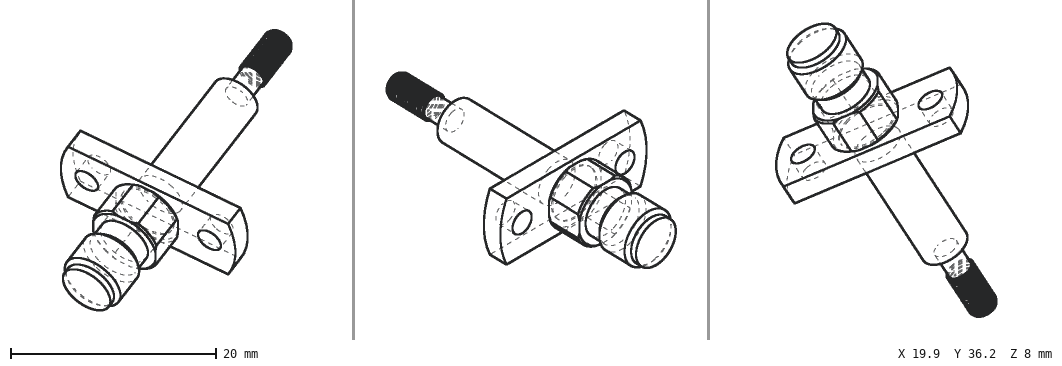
import cadquery as cq

total_length = 36.2

plug_front_y = 0.7
plug_front_cone_length = 0.45
plug_back_y = 4.65
plug_back_cone_length = 0.47
nut_front_y = 7.02
nut_length = 4.27
relief_length = 0.18
flange_thickness = 2.3
rod_end_y = 28.0
thread_start_y = 30.95

plug_neck_radius = 2.7
plug_radius = 3.2
relief_radius = 3.0
rod_radius = 2.5
tail_neck_radius = 1.25
thread_radius = 1.5

rod_end_fillet = 0.18
tail_tip_radius = 1.25
tail_tip_length = 0.45

nut_across_flats = 7.1
nut_radius = 3.85
nut_chamfer = 0.2

flange_length = 19.95
flange_height = 8.0
hole_spacing = 14.0
hole_diameter = 2.6

thread_pitch = 0.4
groove_depth = 0.15
groove_width = 0.33
groove_root_width = 0.018
groove_front_margin = 0.3
groove_back_margin = 0.65

nut_back_y = nut_front_y + nut_length
flange_front_y = nut_back_y + relief_length
flange_back_y = flange_front_y + flange_thickness


def cylinder(radius, start_y, end_y):
    """Solid cylinder about the Y axis from start_y to end_y."""
    return cq.Workplane("XZ", origin=(0, start_y, 0)).circle(radius).extrude(start_y - end_y)


def turned(points):
    """Solid of revolution about the Y axis from (radius, y) points."""
    return cq.Workplane("XY").polyline(points).close().revolve(360, (0, 0, 0), (0, 1, 0))


def make_plug():
    """Front spigot with the wide collar between two cones."""
    return turned([
        (0, 0),
        (plug_neck_radius, 0),
        (plug_neck_radius, plug_front_y),
        (plug_radius, plug_front_y + plug_front_cone_length),
        (plug_radius, plug_back_y),
        (plug_neck_radius, plug_back_y + plug_back_cone_length),
        (plug_neck_radius, nut_front_y),
        (0, nut_front_y),
    ])


def make_nut():
    """Round nut with chamfered rims and four flats facing X and Z."""
    round_body = cylinder(nut_radius, nut_front_y, nut_back_y).edges("%CIRCLE").chamfer(nut_chamfer)
    square = cq.Workplane("XY").box(nut_across_flats, nut_length, nut_across_flats)
    return round_body.intersect(square.translate((0, nut_front_y + nut_length / 2, 0)))


def make_flange():
    """Flat flange with ends rounded about the part axis and two mounting holes."""
    disc = cylinder(flange_length / 2, flange_front_y, flange_back_y)
    bar = cq.Workplane("XY").box(flange_length, flange_thickness, flange_height)
    flange = disc.intersect(bar.translate((0, flange_front_y + flange_thickness / 2, 0)))
    for side in (-1, 1):
        hole = cylinder(hole_diameter / 2, flange_front_y, flange_back_y)
        flange = flange.cut(hole.translate((side * hole_spacing / 2, 0, 0)))
    return flange


def make_rod():
    """Plain rod behind the flange with a rounded end edge."""
    return cylinder(rod_radius, flange_back_y, rod_end_y).faces(">Y").edges().fillet(rod_end_fillet)


def make_thread_groove():
    """Helical groove around the tail, cut off square at both ends of the thread."""
    start_y = thread_start_y + groove_front_margin
    end_y = total_length - groove_back_margin
    helix_length = end_y - start_y + 2 * thread_pitch
    path = cq.Wire.makeHelix(thread_pitch, helix_length, thread_radius)
    root_radius = thread_radius - groove_depth
    overlap = 0.018
    flank_slope = (groove_width - groove_root_width) / 2 / groove_depth
    half_root = groove_root_width / 2
    half_mouth = groove_width / 2 + flank_slope * overlap
    groove = (
        cq.Workplane("XZ")
        .moveTo(root_radius, -half_root)
        .lineTo(root_radius, half_root)
        .lineTo(thread_radius + overlap, half_mouth)
        .lineTo(thread_radius + overlap, -half_mouth)
        .close()
        .sweep(cq.Workplane(obj=path), isFrenet=True)
        .rotate((0, 0, 0), (1, 0, 0), -90)
        .translate((0, start_y - thread_pitch, 0))
    )
    return groove.intersect(cylinder(2 * thread_radius, start_y, end_y))


def make_tail():
    """Slim neck and threaded end with a tapered tip."""
    blank = turned([
        (0, rod_end_y),
        (tail_neck_radius, rod_end_y),
        (tail_neck_radius, thread_start_y),
        (thread_radius, thread_start_y),
        (thread_radius, total_length - tail_tip_length),
        (tail_tip_radius, total_length),
        (0, total_length),
    ])
    return blank.cut(make_thread_groove())


result = (
    make_plug()
    .union(make_nut())
    .union(cylinder(relief_radius, nut_back_y, flange_front_y))
    .union(make_flange())
    .union(make_rod())
    .union(make_tail())
)